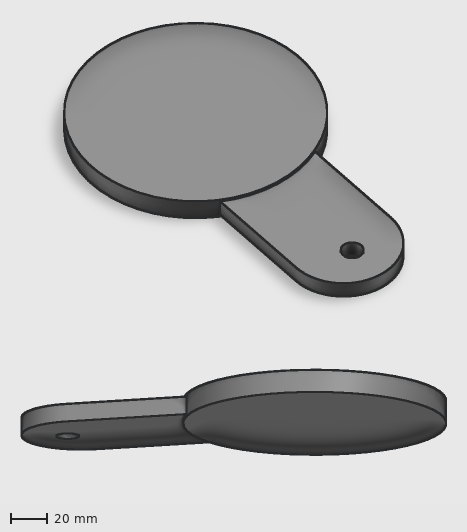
import cadquery as cq

total_length = 239.6
disc_diameter = 146.0
disc_thickness = 12.7

handle_width = 66.5
handle_thickness = 10.0
hole_diameter = 12.7
hole_to_tip = 25.5

disc_radius = disc_diameter / 2
handle_radius = handle_width / 2
tip_x = total_length - disc_radius
round_end_x = tip_x - handle_radius
hole_x = tip_x - hole_to_tip


def base_plane(thickness):
    """Horizontal plane from which an extrusion of this thickness is centred on Z = 0."""
    return cq.Workplane("XY").workplane(offset=-thickness / 2)


def make_disc():
    """Flat round plate, centred on the origin."""
    return base_plane(disc_thickness).circle(disc_radius).extrude(disc_thickness)


def make_handle():
    """Round-ended bar at mid-thickness, running from the disc centre to the tip."""
    return (
        base_plane(handle_thickness)
        .moveTo(0, -handle_radius)
        .lineTo(round_end_x, -handle_radius)
        .threePointArc((tip_x, 0), (round_end_x, handle_radius))
        .lineTo(0, handle_radius)
        .close()
        .extrude(handle_thickness)
    )


def make_hanging_hole():
    """Cutter for the through hole near the handle tip."""
    return (
        base_plane(handle_thickness)
        .center(hole_x, 0)
        .circle(hole_diameter / 2)
        .extrude(handle_thickness)
    )


result = make_disc().union(make_handle()).cut(make_hanging_hole())